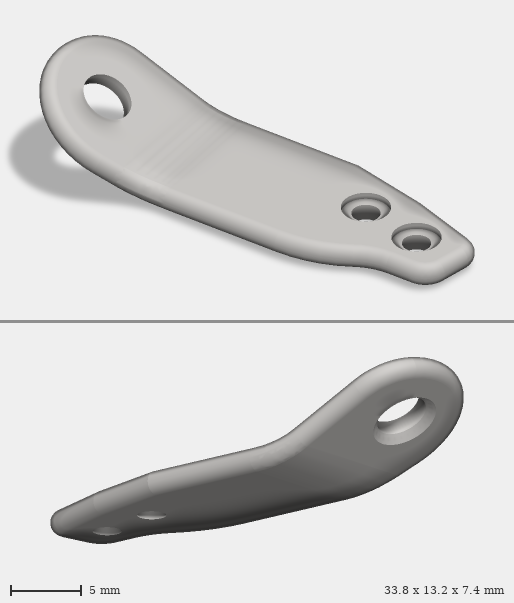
import math

import cadquery as cq

thickness = 1.75
half_thickness = thickness / 2
rim_radius = 0.85
bend_angle = 31.8
bend_radius = 7.15
bend_x = -4.9
bend_sections = 9
tolerance = 0.005
part_turn = 1.5

leg_front_y = -4.55
leg_back_y = 6.42
leg_edge_end_x = 4.5
taper_knee = (10.68, 5.0)
taper_end = (15.82, 3.25)
tip_top = (16.9, 1.4)
tip_bottom = (16.43, -0.85)
neck_y = -2.4
neck_start_x = 12.5
neck_end_x = 14.45
waist_share = 0.7

screw_points = [(7.9, 1.93), (12.9, 0.85)]
screw_diameter = 2.05
screw_head_diameter = 3.55
screw_head_depth = 0.5

tab_radius = 6.1
tab_center = (3.45, -0.25)
tab_corner_radius = 4.73
tab_back_y = 5.9
tab_back_angle = 10.0
tab_front_angle = 20.0

tab_hole_point = (4.55, -0.88)
tab_hole_diameter = 3.75
tab_sink_diameter = 4.85
tab_sink_depth = 0.55

bend_sine = math.sin(math.radians(bend_angle))
bend_cosine = math.cos(math.radians(bend_angle))
bend_length = bend_radius * math.radians(bend_angle)
back_slope = -math.tan(math.radians(tab_back_angle))
front_slope = -math.tan(math.radians(tab_front_angle))

front_tangent = (
    tab_center[0] - tab_radius * math.sin(math.radians(tab_front_angle)),
    tab_center[1] - tab_radius * math.cos(math.radians(tab_front_angle)),
)
tab_front_y = front_tangent[1] - front_slope * front_tangent[0]


def bend_plane(angle):
    """Cross-section plane of the plate after bending through the angle; x across, y through thickness."""
    turn = math.radians(angle)
    origin = (
        bend_x - bend_radius * math.sin(turn),
        0,
        bend_radius * (1 - math.cos(turn)),
    )
    return cq.Plane(
        origin=origin,
        xDir=(0, -1, 0),
        normal=(-math.cos(turn), 0, math.sin(turn)),
    )


def blend(start, end, end_slope, share):
    """Edge position along the bend: level at the leg, end_slope at the tab."""
    cubic = (3 - 2 * share) * share**2
    return start + (end - start) * cubic + end_slope * bend_length * (share - 1) * share**2


def make_leg():
    waist = (
        leg_edge_end_x + waist_share * (neck_start_x - leg_edge_end_x),
        leg_front_y + waist_share * (neck_y - leg_front_y),
    )
    return (
        cq.Workplane("XY", origin=(0, 0, -half_thickness))
        .moveTo(bend_x, leg_back_y)
        .lineTo(bend_x, leg_front_y)
        .lineTo(leg_edge_end_x, leg_front_y)
        .tangentArcPoint(waist, relative=False)
        .tangentArcPoint((neck_start_x, neck_y), relative=False)
        .lineTo(neck_end_x, neck_y)
        .tangentArcPoint(tip_bottom, relative=False)
        .lineTo(*tip_top)
        .tangentArcPoint(taper_end, relative=False)
        .lineTo(*taper_knee)
        .lineTo(leg_edge_end_x, leg_back_y)
        .close()
        .extrude(thickness)
    )


def make_bend():
    sections = []
    for step in range(bend_sections):
        share = step / (bend_sections - 1)
        front = blend(leg_front_y, tab_front_y, front_slope, share)
        back = blend(leg_back_y, tab_back_y, back_slope, share)
        section = (
            cq.Workplane(bend_plane(share * bend_angle))
            .center(-(front + back) / 2, 0)
            .rect(back - front, thickness)
        )
        sections.append(section.wires().val())
    return cq.Workplane(cq.Solid.makeLoft(sections))


def tab_workplane():
    """Middle plane of the tab: x runs up the tab, y across it, the normal points out of the underside."""
    end = bend_plane(bend_angle)
    return cq.Workplane(cq.Plane(origin=end.origin, xDir=end.zDir, normal=(-bend_sine, 0, -bend_cosine)))


def make_tab():
    edge_dir = (math.cos(math.radians(tab_back_angle)), -math.sin(math.radians(tab_back_angle)))
    edge_normal = (-edge_dir[1], edge_dir[0])
    edge_distance = (tab_back_y - tab_center[1]) * edge_normal[1] - tab_center[0] * edge_normal[0]
    rise = edge_distance - tab_corner_radius
    run = math.sqrt((tab_radius - tab_corner_radius) ** 2 - rise**2)
    back_tangent = [c + run * d + edge_distance * n for c, d, n in zip(tab_center, edge_dir, edge_normal)]
    reach = tab_radius / (tab_radius - tab_corner_radius)
    round_start = [
        c + reach * (run * d + rise * n) for c, d, n in zip(tab_center, edge_dir, edge_normal)
    ]
    return (
        tab_workplane()
        .moveTo(0, tab_back_y)
        .lineTo(*back_tangent)
        .tangentArcPoint(tuple(round_start), relative=False)
        .threePointArc((tab_center[0] + tab_radius, tab_center[1]), front_tangent)
        .lineTo(0, tab_front_y)
        .close()
        .extrude(half_thickness, both=True)
    )


def round_rim(plate):
    """Round the upper and lower rims, leaving out lines across the plate and through its thickness."""
    rims = []
    for edge in plate.edges().vals():
        start = edge.startPoint()
        end = edge.endPoint()
        across_bend = abs(start.x - end.x) < tolerance and abs(start.z - end.z) < tolerance
        through_thickness = abs((end - start).Length - thickness) < tolerance
        if not across_bend and not through_thickness:
            rims.append(edge)
    return plate.newObject(rims).fillet(rim_radius)


def make_screw_holes():
    through = (
        cq.Workplane("XY", origin=(0, 0, -half_thickness))
        .pushPoints(screw_points)
        .circle(screw_diameter / 2)
        .extrude(thickness)
    )
    heads = (
        cq.Workplane("XY", origin=(0, 0, half_thickness))
        .pushPoints(screw_points)
        .circle(screw_head_diameter / 2)
        .extrude(-screw_head_depth)
    )
    return through.union(heads)


def make_tab_hole():
    through = (
        tab_workplane()
        .center(*tab_hole_point)
        .circle(tab_hole_diameter / 2)
        .extrude(half_thickness, both=True)
    )
    sink = (
        tab_workplane()
        .workplane(offset=half_thickness - tab_sink_depth)
        .center(*tab_hole_point)
        .circle(tab_hole_diameter / 2)
        .workplane(offset=tab_sink_depth)
        .circle(tab_sink_diameter / 2)
        .loft()
    )
    return through.union(sink)


plate = make_leg().union(make_bend()).union(make_tab())
part = round_rim(plate).cut(make_screw_holes()).cut(make_tab_hole())
result = part.rotate((0, 0, 0), (0, 0, 1), part_turn)